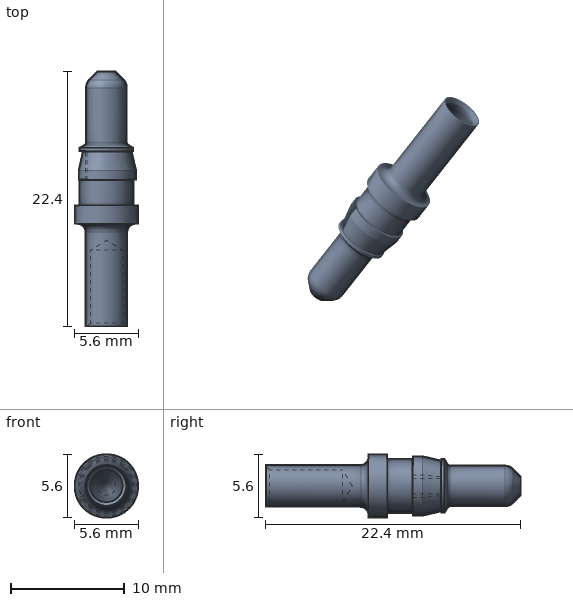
import cadquery as cq
import math

total_length = 22.4

barrel_diameter = 3.7
bore_diameter = 2.85
bore_depth = 6.72
drill_point_angle = 118.0
mouth_diameter = 3.47

flange_diameter = 5.6
flange_front = 9.0
flange_rear = 10.65
barrel_fillet = 0.7
body_diameter = 4.8

groove_diameter = 3.7
groove_front = 12.85
groove_rear = 15.4
collar_rear = 15.68
collar_diameter = 4.75
collar_fillet = 0.22
collar_cone_angle = 60.0

sleeve_diameter = 5.25
sleeve_end_diameter = 4.48
sleeve_clearance = 0.05
sleeve_straight_length = 0.83
slot_half_angle = 22.0

pin_diameter = 3.6
tip_round = 1.0
tip_cone_length = 0.72

barrel_radius = barrel_diameter / 2
bore_radius = bore_diameter / 2
mouth_radius = mouth_diameter / 2
flange_radius = flange_diameter / 2
body_radius = body_diameter / 2
collar_radius = collar_diameter / 2
groove_radius = groove_diameter / 2
pin_radius = pin_diameter / 2


def revolve_about_y(outline):
    return outline.close().revolve(360, (0, 0, 0), (0, 1, 0))


def make_body():
    half_tip_angle = math.radians(45 / 2)
    diagonal = math.sqrt(0.5)
    fillet_start = flange_front - barrel_fillet
    cone_angle = math.radians(collar_cone_angle)
    collar_cone_top_radius = pin_radius + collar_fillet * (1 - math.cos(cone_angle))
    collar_cone_length = (collar_radius - collar_cone_top_radius) / math.tan(cone_angle)
    collar_cone_rear = collar_rear + collar_cone_length
    collar_fillet_end = collar_cone_rear + collar_fillet * math.sin(cone_angle)
    cone_start = total_length - tip_cone_length
    round_start = cone_start - tip_round * diagonal
    round_center_radius = pin_radius - tip_round
    cone_radius = round_center_radius + tip_round * diagonal
    round_middle = (
        round_center_radius + tip_round * math.cos(half_tip_angle),
        round_start + tip_round * math.sin(half_tip_angle),
    )
    return revolve_about_y(
        cq.Workplane("XY")
        .lineTo(barrel_radius, 0)
        .lineTo(barrel_radius, fillet_start)
        .radiusArc((barrel_radius + barrel_fillet, flange_front), barrel_fillet)
        .lineTo(flange_radius, flange_front)
        .lineTo(flange_radius, flange_rear)
        .lineTo(body_radius, flange_rear)
        .lineTo(body_radius, groove_front)
        .lineTo(groove_radius, groove_front)
        .lineTo(groove_radius, groove_rear)
        .lineTo(collar_radius, groove_rear)
        .lineTo(collar_radius, collar_rear)
        .lineTo(collar_cone_top_radius, collar_cone_rear)
        .radiusArc((pin_radius, collar_fillet_end), collar_fillet)
        .lineTo(pin_radius, round_start)
        .threePointArc(round_middle, (cone_radius, cone_start))
        .lineTo(cone_radius - tip_cone_length, total_length)
        .lineTo(0, total_length)
    )


def make_bore():
    """Drilled wire hole with a 45 degree mouth and a conical bottom."""
    point_length = bore_radius / math.tan(math.radians(drill_point_angle / 2))
    return revolve_about_y(
        cq.Workplane("XY")
        .lineTo(mouth_radius, 0)
        .lineTo(bore_radius, mouth_radius - bore_radius)
        .lineTo(bore_radius, bore_depth)
        .lineTo(0, bore_depth + point_length)
    )


def make_sleeve():
    """Tapered spring ring with a radial-walled slot facing -X."""
    front = groove_front + sleeve_clearance
    rear = groove_rear - sleeve_clearance
    sleeve_radius = sleeve_diameter / 2
    ring = revolve_about_y(
        cq.Workplane("XY")
        .moveTo(groove_radius, front)
        .lineTo(sleeve_radius, front)
        .lineTo(sleeve_radius, front + sleeve_straight_length)
        .lineTo(sleeve_end_diameter / 2, rear)
        .lineTo(groove_radius, rear)
    )
    reach = flange_radius
    half_width = reach * math.tan(math.radians(slot_half_angle))
    slot = (
        cq.Workplane("XZ")
        .polyline([(0, 0), (-reach, half_width), (-reach, -half_width)])
        .close()
        .extrude(-total_length)
    )
    return ring.cut(slot)


result = make_body().union(make_sleeve()).cut(make_bore())